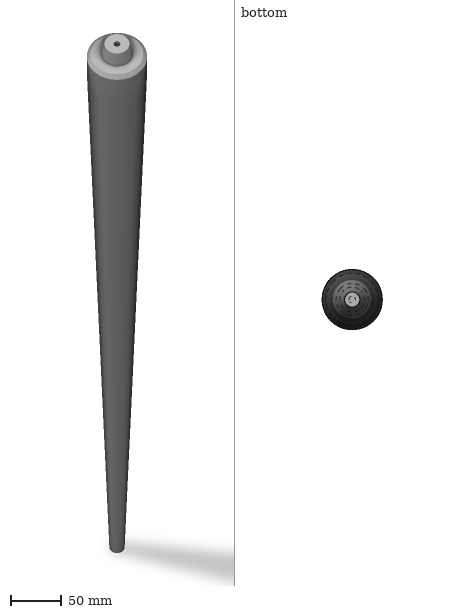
import cadquery as cq
import math

total_length = 796.0
boss_height = 16.0
collar_chamfer_height = 4.0
collar_height = 26.0

tip_diameter = 15.0
collar_diameter = 60.0
shoulder_diameter = 52.0
boss_base_diameter = 32.0
boss_top_diameter = 25.0
bore_diameter = 6.8

drill_point_angle = 118.0

shoulder_z = total_length - boss_height
collar_top_z = shoulder_z - collar_chamfer_height
collar_bottom_z = collar_top_z - collar_height

profile = [
    (0, 0),
    (tip_diameter / 2, 0),
    (collar_diameter / 2, collar_bottom_z),
    (collar_diameter / 2, collar_top_z),
    (shoulder_diameter / 2, shoulder_z),
    (boss_base_diameter / 2, shoulder_z),
    (boss_top_diameter / 2, total_length),
    (0, total_length),
]
body = cq.Workplane("XZ").polyline(profile).close().revolve(360, (0, 0), (0, 1))

bore_radius = bore_diameter / 2
point_depth = bore_radius / math.tan(math.radians(drill_point_angle / 2))
bore_profile = [
    (0, shoulder_z - point_depth),
    (bore_radius, shoulder_z),
    (bore_radius, total_length),
    (0, total_length),
]
bore = cq.Workplane("XZ").polyline(bore_profile).close().revolve(360, (0, 0), (0, 1))

result = body.cut(bore).translate((0, 0, -total_length / 2))